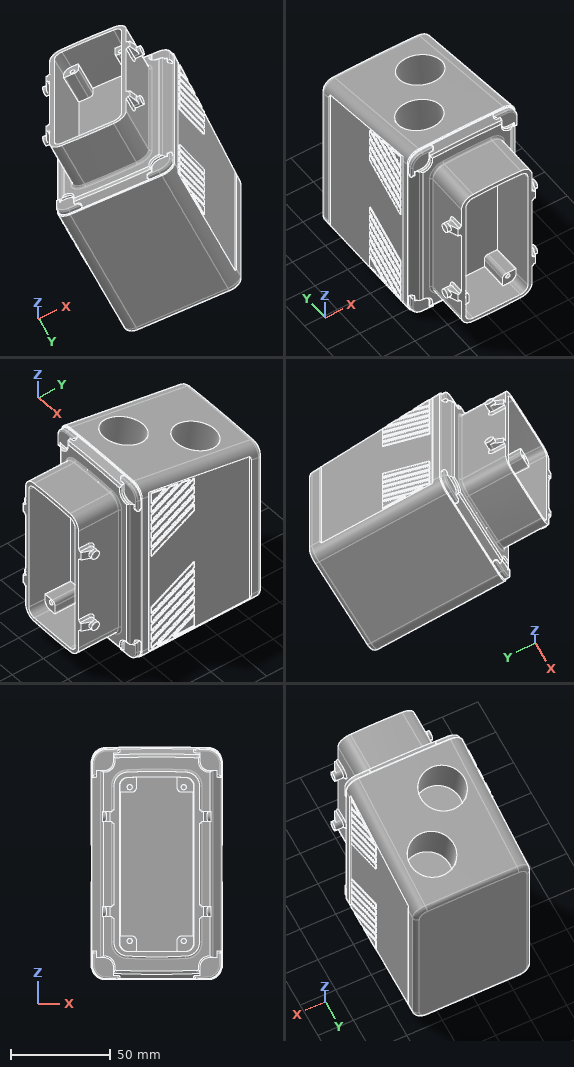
import cadquery as cq
import math


HOOD_WIDTH = 65.7
STRIPED_WIDTH = 66.01
HOOD_HEIGHT = 117.26
TOTAL_LENGTH = 108.97
CROWN = 0.4

HOOD_LENGTH = 77.6
TOP_ANGLE = math.radians(10)
TOP_SLOPE = math.tan(TOP_ANGLE)
HOOD_CORNER = 7.0
BACK_FILLET = 2.6
SHOULDER = 0.5
BACK_HEIGHT = HOOD_HEIGHT - (HOOD_LENGTH - SHOULDER) * TOP_SLOPE

FLANGE_CENTER_Z = 58.2
FLANGE_HALF_HEIGHT = 58.1
CAP_END = 80.2
CHAMFER_END = 81.4
PLATE_END = 82.3
SIDE_INSET = 4.5
TOP_INSET = 2.6
PLATE_BEVEL = 1.6
CAP_FILLET = 0.8
CAP_SIZE = 11.0
CAP_INNER_RADIUS = 4.5
NOTCH_BEVEL = 0.8
TIP_REACH = 14.4

TUBE_WIDTH = 43.1
TUBE_HEIGHT = 93.4
TUBE_CORNER = 7.0
TUBE_WALL = 2.7
TUBE_ROOT_FILLET = 1.2
SELECT_MARGIN = 0.1
CAVITY_DEPTH = 26.2
SIDE_DRAFT = 0.7

POST_X = 13.6
POST_Z = 38.7
POST_INNER_X = 10.25
POST_INNER_Z = 36.2
POST_CORNER = 2.3
POST_SETBACK = 10.0
SCREW_HOLE_DIAMETER = 2.6
SCREW_HOLE_DEPTH = 8.0

PEG_RADIUS = 2.5
PEG_STATION = 102.7
PEG_REACH = 27.4
PEG_SPACING = 47.8
RAMP_HIGH_X = 25.7
RAMP_LOW_X = 23.6
PEG_ROOT_FLARE = 1.2

ENTRY_DIAMETER = 25.0
ENTRY_DEPTH = 27.0
ENTRIES = [(10.4, 25.3), (-10.4, 55.0)]

PANEL_DEPTH = 0.4
PANEL_BACK = 7.2
PANEL_FRONT = 73.2
PANEL_EDGE_SLOPE = 0.7
STRIPE_BACK = 43.7
STRIPE_FRONT = 71.1
STRIPE_MARGIN = 6.1
STRIPE_FALL = math.tan(math.radians(30))
STRIPE_HEIGHT = 3.9
STRIPE_PITCH = 5.89
STRIPES_PER_GROUP = 7
UPPER_GROUP_BASE = 83.7
LOWER_GROUP_TOP = 49.1


def station(distance):
    """Workplane facing -Y at a distance from the back face."""
    return cq.Workplane("XZ", origin=(0, -distance, 0))


def top_at(distance):
    """Height of the sloped hood top at a distance from the back face."""
    return BACK_HEIGHT + distance * TOP_SLOPE


def crowned_outline(plane, half_width, bottom, top, radius, bottom_crown=0.0):
    """Rounded rectangle whose top edge, and optionally bottom edge, bows outward."""
    top_end = top - CROWN
    bottom_end = bottom + bottom_crown
    flat = half_width - radius
    corner_sag = radius * (1 - math.sqrt(0.5))
    diagonal = half_width - corner_sag
    outline = plane.moveTo(half_width, bottom_end + radius).lineTo(half_width, top_end - radius)
    outline = outline.threePointArc((diagonal, top_end - corner_sag), (flat, top_end))
    outline = outline.threePointArc((0, top), (-flat, top_end))
    outline = outline.threePointArc((-diagonal, top_end - corner_sag), (-half_width, top_end - radius))
    outline = outline.lineTo(-half_width, bottom_end + radius)
    outline = outline.threePointArc((-diagonal, bottom_end + corner_sag), (-flat, bottom_end))
    if bottom_crown:
        outline = outline.threePointArc((0, bottom), (flat, bottom_end))
    else:
        outline = outline.lineTo(flat, bottom)
    outline = outline.threePointArc((diagonal, bottom_end + corner_sag), (half_width, bottom_end + radius))
    return outline.close()


def loft(*wires):
    """Solid with straight sides between the given wires."""
    return cq.Workplane(cq.Solid.makeLoft(list(wires), True))


def make_hood():
    """Upright rounded body trimmed by a rounded prism that follows the sloped top."""
    half = HOOD_WIDTH / 2
    overrun = HOOD_HEIGHT * TOP_SLOPE + HOOD_CORNER
    upright = crowned_outline(station(0), half, 0, HOOD_HEIGHT + 2 * HOOD_CORNER, HOOD_CORNER)
    slope_plane = cq.Plane(
        origin=(0, overrun, top_at(-overrun)),
        xDir=(1, 0, 0),
        normal=(0, -1, TOP_SLOPE),
    )
    sloped = crowned_outline(cq.Workplane(slope_plane), half, -2 * HOOD_HEIGHT, 0, HOOD_CORNER)
    slope_length = (HOOD_LENGTH + 2 * overrun) / math.cos(TOP_ANGLE)
    hood = upright.extrude(HOOD_LENGTH).intersect(sloped.extrude(slope_length))
    hood = hood.faces(">Y").edges().fillet(BACK_FILLET)
    return hood.faces("<Y").edges().chamfer(SHOULDER)


def flange_outline(distance, side_inset, end_inset):
    """Flange outline, drawn in from the hood's sides and the flange's ends."""
    half_height = FLANGE_HALF_HEIGHT - end_inset
    return crowned_outline(
        station(distance),
        HOOD_WIDTH / 2 - side_inset,
        FLANGE_CENTER_Z - half_height,
        FLANGE_CENTER_Z + half_height,
        HOOD_CORNER,
        CROWN,
    )


def corner_region(side, end, start, length, flare=0.0):
    """Prism over one flange corner with a rounded inner corner; side and end are -1 or 1."""
    corner_x = side * HOOD_WIDTH / 2
    corner_z = FLANGE_CENTER_Z + end * FLANGE_HALF_HEIGHT
    section = cq.Sketch().rect(2 * CAP_SIZE, 2 * CAP_SIZE).vertices().fillet(CAP_INNER_RADIUS)
    return station(start).center(corner_x, corner_z).placeSketch(section).extrude(length, taper=-flare)


def cap_tips(side, end):
    """Round-ended strips that run from a corner cap along both flange edges."""
    thickness = CAP_END - HOOD_LENGTH
    middle_y = -(CAP_END + HOOD_LENGTH) / 2
    corner_x = side * HOOD_WIDTH / 2
    corner_z = FLANGE_CENTER_Z + end * FLANGE_HALF_HEIGHT
    upright = (
        cq.Workplane("YZ", origin=(corner_x, middle_y, corner_z))
        .slot2D(2 * TIP_REACH, thickness, 90)
        .extrude(-side * thickness)
    )
    level = (
        cq.Workplane("XY", origin=(corner_x, middle_y, corner_z))
        .slot2D(2 * TIP_REACH, thickness)
        .extrude(-end * thickness)
    )
    return upright.union(level)


def make_plate():
    """Flange plate: a wide chamfer from the hood, then a small bevel up to the front face."""
    base = flange_outline(HOOD_LENGTH, SHOULDER, 0).wires().val()
    rim = flange_outline(CHAMFER_END, SIDE_INSET, TOP_INSET).wires().val()
    front = flange_outline(PLATE_END, SIDE_INSET + PLATE_BEVEL, TOP_INSET + PLATE_BEVEL).wires().val()
    return loft(base, rim).union(loft(rim, front))


def make_flange():
    """Plate with four bevelled corner notches, each floored by a corner cap."""
    flange = make_plate()
    cap_height = CAP_END - HOOD_LENGTH
    layer = flange_outline(HOOD_LENGTH, SHOULDER, 0).extrude(cap_height)
    layer = layer.faces("<Y").edges().fillet(CAP_FILLET)
    for side in (-1, 1):
        for end in (-1, 1):
            notch = corner_region(side, end, CAP_END, PLATE_END - CAP_END)
            bevel = corner_region(side, end, PLATE_END - NOTCH_BEVEL, NOTCH_BEVEL, 45)
            cap = corner_region(side, end, HOOD_LENGTH, cap_height).union(cap_tips(side, end))
            flange = flange.cut(notch).cut(bevel).union(layer.intersect(cap))
    return flange


def make_tube():
    """Tube that starts inside the flange, with its top and bottom slightly crowned."""
    half_height = TUBE_HEIGHT / 2
    bottom = FLANGE_CENTER_Z - half_height
    top = FLANGE_CENTER_Z + half_height
    outline = crowned_outline(station(CAP_END), TUBE_WIDTH / 2, bottom, top, TUBE_CORNER, CROWN)
    return outline.extrude(TOTAL_LENGTH - CAP_END)


def fillet_tube_root(body):
    """Rounds the edges where the tube leaves the front face of the flange plate."""
    half_width = TUBE_WIDTH / 2 + SELECT_MARGIN
    half_height = TUBE_HEIGHT / 2 + SELECT_MARGIN
    root_edges = cq.selectors.BoxSelector(
        (-half_width, -PLATE_END - SELECT_MARGIN, FLANGE_CENTER_Z - half_height),
        (half_width, -PLATE_END + SELECT_MARGIN, FLANGE_CENTER_Z + half_height),
        boundingbox=True,
    )
    return body.edges(root_edges).fillet(TUBE_ROOT_FILLET)


def make_cavity():
    """Solid that fills the tube's inside, narrowing in X toward the floor."""
    half_width = TUBE_WIDTH / 2 - TUBE_WALL
    half_height = TUBE_HEIGHT / 2 - TUBE_WALL
    radius = TUBE_CORNER - TUBE_WALL
    bottom = FLANGE_CENTER_Z - half_height
    top = FLANGE_CENTER_Z + half_height
    floor = TOTAL_LENGTH - CAVITY_DEPTH
    mouth_outline = crowned_outline(station(TOTAL_LENGTH), half_width, bottom, top, radius)
    floor_outline = crowned_outline(station(floor), half_width - SIDE_DRAFT, bottom, top, radius)
    return loft(mouth_outline.wires().val(), floor_outline.wires().val())


def make_post(side, end):
    """Post in one cavity corner with a blind screw hole; its outer sides sink into the tube wall."""
    outer_x = TUBE_WIDTH / 2 - TUBE_WALL / 2
    outer_z = TUBE_HEIGHT / 2 - TUBE_WALL / 2
    start = TOTAL_LENGTH - CAVITY_DEPTH
    post = (
        station(start)
        .center(side * (outer_x + POST_INNER_X) / 2, FLANGE_CENTER_Z + end * (outer_z + POST_INNER_Z) / 2)
        .rect(outer_x - POST_INNER_X, outer_z - POST_INNER_Z)
        .extrude(CAVITY_DEPTH - POST_SETBACK)
        .edges("|Y")
        .fillet(POST_CORNER)
    )
    hole = (
        station(TOTAL_LENGTH - POST_SETBACK - SCREW_HOLE_DEPTH)
        .center(side * POST_X, FLANGE_CENTER_Z + end * POST_Z)
        .circle(SCREW_HOLE_DIAMETER / 2)
        .extrude(SCREW_HOLE_DEPTH)
    )
    return post.cut(hole)


def hollow_tube(body):
    """Cuts the cavity but leaves the four screw posts standing in its corners."""
    cavity = make_cavity()
    for side in (-1, 1):
        for end in (-1, 1):
            cavity = cavity.cut(make_post(side, end))
    return body.cut(cavity)


def make_peg(z):
    """Round locking peg on the +X side with a flared root and a ramp that runs out at the tube mouth."""
    peg = (
        cq.Workplane("YZ", origin=(0, -PEG_STATION, z))
        .circle(PEG_RADIUS)
        .extrude(PEG_REACH)
    )
    ramp = (
        cq.Workplane("XY", origin=(0, 0, z - PEG_RADIUS))
        .polyline([
            (0, -PEG_STATION),
            (RAMP_HIGH_X, -PEG_STATION),
            (RAMP_HIGH_X, -PEG_STATION - PEG_RADIUS / 2),
            (RAMP_LOW_X, -TOTAL_LENGTH),
            (0, -TOTAL_LENGTH),
        ])
        .close()
        .extrude(2 * PEG_RADIUS)
    )
    flare_radius = PEG_RADIUS + PEG_ROOT_FLARE
    mouth = TOTAL_LENGTH - PEG_STATION
    flare = (
        cq.Workplane("YZ", origin=(TUBE_WIDTH / 2, -PEG_STATION, z))
        .moveTo(0, flare_radius)
        .threePointArc((flare_radius, 0), (0, -flare_radius))
        .lineTo(-mouth - flare_radius, -flare_radius)
        .lineTo(-mouth - flare_radius, flare_radius)
        .close()
        .extrude(PEG_ROOT_FLARE, taper=45)
    )
    return peg.union(ramp).union(flare)


def make_pegs():
    """All four pegs, trimmed to the tube mouth and to the outside of the cavity."""
    pegs = cq.Workplane()
    trim = (
        station(HOOD_LENGTH)
        .center(0, FLANGE_CENTER_Z)
        .rect(2 * PEG_REACH, TUBE_HEIGHT)
        .rect(TUBE_WIDTH - TUBE_WALL, TUBE_HEIGHT - TUBE_WALL)
        .extrude(TOTAL_LENGTH - HOOD_LENGTH)
    )
    for end in (-1, 1):
        peg = make_peg(FLANGE_CENTER_Z + end * PEG_SPACING / 2).intersect(trim)
        pegs = pegs.add(peg).add(peg.mirror("YZ"))
    return pegs.combine()


def cut_entries(body):
    """Blind round holes square to the sloped top, started above its crown."""
    for x, distance in ENTRIES:
        plane = cq.Plane(
            origin=(x, -distance, top_at(distance)),
            xDir=(1, 0, 0),
            normal=(0, TOP_SLOPE, 1),
        )
        top_plane = cq.Workplane(plane).workplane(offset=CROWN)
        entry = top_plane.circle(ENTRY_DIAMETER / 2).extrude(-ENTRY_DEPTH - CROWN)
        body = body.cut(entry)
    return body


def make_panel_recess():
    """Cutter for the -X side panel; its front and back edges slope out to the hood face."""
    face_x = -HOOD_WIDTH / 2
    floor_x = face_x + PANEL_DEPTH
    return (
        cq.Workplane("XY")
        .polyline([
            (face_x, -PANEL_BACK),
            (floor_x, -PANEL_BACK - PANEL_EDGE_SLOPE),
            (floor_x, -PANEL_FRONT + PANEL_EDGE_SLOPE),
            (face_x, -PANEL_FRONT),
            (face_x - PANEL_DEPTH, -PANEL_FRONT),
            (face_x - PANEL_DEPTH, -PANEL_BACK),
        ])
        .close()
        .extrude(HOOD_HEIGHT)
    )


def side_prism(points):
    """Prism on the -X side from the panel floor out to the stripe faces; points are (station, Z)."""
    return (
        cq.Workplane("YZ", origin=(-STRIPED_WIDTH / 2, 0, 0))
        .polyline([(-distance, z) for distance, z in points])
        .close()
        .extrude((STRIPED_WIDTH - HOOD_WIDTH) / 2 + PANEL_DEPTH)
    )


def make_stripe(low, high):
    """Raised slanted bar; low and high are its edge heights at the back of the stripe field."""
    drop = (STRIPE_FRONT - STRIPE_BACK) * STRIPE_FALL
    return side_prism([
        (STRIPE_BACK, low),
        (STRIPE_BACK, high),
        (STRIPE_FRONT, high - drop),
        (STRIPE_FRONT, low - drop),
    ])


def make_stripes():
    """Upper and lower stripe groups on the -X side; the last stripe of each fills its corner."""
    field = side_prism([
        (STRIPE_BACK, STRIPE_MARGIN),
        (STRIPE_BACK, top_at(STRIPE_BACK) - STRIPE_MARGIN),
        (STRIPE_FRONT, top_at(STRIPE_FRONT) - STRIPE_MARGIN),
        (STRIPE_FRONT, STRIPE_MARGIN),
    ])
    stripes = cq.Workplane()
    for index in range(STRIPES_PER_GROUP):
        is_last = index == STRIPES_PER_GROUP - 1
        height = 2 * STRIPE_PITCH if is_last else STRIPE_HEIGHT
        low = UPPER_GROUP_BASE + index * STRIPE_PITCH
        high = LOWER_GROUP_TOP - index * STRIPE_PITCH
        stripes = stripes.add(make_stripe(low, low + height).intersect(field))
        stripes = stripes.add(make_stripe(high - height, high).intersect(field))
    return stripes.combine()


result = make_hood().union(make_flange()).union(make_tube())
result = fillet_tube_root(result)
result = result.union(make_pegs())
result = hollow_tube(result)
result = cut_entries(result)
recess = make_panel_recess()
stripes = make_stripes()
result = result.cut(recess).cut(recess.mirror("YZ"))
result = result.union(stripes).union(stripes.mirror("YZ"))